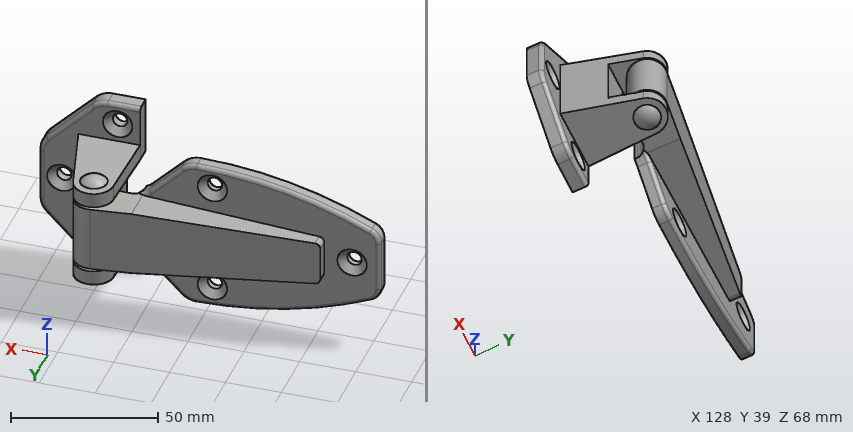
import cadquery as cq
import math


KNUCKLE_R = 7.0
PIN_R = 3.2
EDGE_R = 1.5
CORNER_R = 7.9
SCREW_D = 5.1
SINK_DEPTH = 2.7
OVERSHOOT = 1.3

BASE_LEFT = -8.0
BASE_RIGHT = 28.0
BASE_BOTTOM = -32.0
BASE_THICK = 6.0
BASE_TOP = BASE_BOTTOM + BASE_THICK
BASE_HALF_H = 68.0 / 2
BASE_BEVEL = 21.0
BASE_SCREWS = [(0, 26.0), (0, -26.0), (20.0, 0)]

ARM_FOOT_RIGHT = 14.1
ARM_FOOT_HALF_H = 19.1
ARM_TIP_HALF_H = 18.4
ARM_GAP_HALF_H = 13.0
WEB_LEFT = -1.4
WEB_TOP = -10.0
WEB_CORNER_R = 2.0

LEAF_LEFT = -100.0
LEAF_RIGHT = -15.0
LEAF_TOP = -KNUCKLE_R
LEAF_THICK = 5.0
LEAF_BOTTOM = LEAF_TOP - LEAF_THICK
LEAF_HALF_H = 28.0
LEAF_SIDE_R = 150.0
LEAF_SIDE_APEX = -34.0
LEAF_END_R = 5.8
LEAF_SCREWS = [(-40.0, 20.0), (-40.0, -20.0), (-90.0, 0)]

NECK_HALF_H = 12.0
NECK_FILLET_R = 4.0
RIB_LEFT = -80.0
RIB_LEFT_TOP = -2.8
RIB_LEFT_HALF_H = 8.0
RIB_CORNER_R = 2.0

HEAD_R = 4.7
HEAD_HEIGHT = 2.2
HEAD_SEAT = ARM_FOOT_HALF_H


def knuckle_tangent(x, y, side):
    """Point where a line from (x, y) touches the knuckle circle; side +1 or -1 picks which of the two."""
    distance = math.hypot(x, y)
    angle = math.atan2(y, x) + side * math.acos(KNUCKLE_R / distance)
    return (KNUCKLE_R * math.cos(angle), KNUCKLE_R * math.sin(angle))


def plate(outline, top, thickness):
    """Plate whose XZ outline is extruded downward (-Y) from the given top."""
    return outline(cq.Workplane("XZ", origin=(0, top, 0))).extrude(thickness)


def drill_screw_holes(body, centres, top, thickness):
    """Through holes, countersunk from the top (+Y) face."""
    radius = SCREW_D / 2
    drill = (
        cq.Workplane("XY")
        .moveTo(0, top)
        .lineTo(radius + SINK_DEPTH, top)
        .lineTo(radius, top - SINK_DEPTH)
        .lineTo(radius, top - thickness)
        .lineTo(0, top - thickness)
        .close()
        .revolve(360, (0, 0, 0), (0, 1, 0))
    )
    for x, z in centres:
        body = body.cut(drill.translate((x, 0, z)))
    return body


def pin_bore(half_height):
    return cq.Workplane("XY").circle(PIN_R).extrude(half_height, both=True)


def make_base_plate():
    bevel_x = BASE_RIGHT - BASE_BEVEL
    bevel_z = BASE_HALF_H - BASE_BEVEL

    def outline(wp):
        return wp.polyline([
            (BASE_LEFT, -BASE_HALF_H),
            (bevel_x, -BASE_HALF_H),
            (BASE_RIGHT, -bevel_z),
            (BASE_RIGHT, bevel_z),
            (bevel_x, BASE_HALF_H),
            (BASE_LEFT, BASE_HALF_H),
        ]).close()

    body = plate(outline, BASE_TOP, BASE_THICK)
    body = body.edges("|Y").edges("not <X").fillet(CORNER_R)
    body = body.faces(">Y").edges("not <X").fillet(EDGE_R)
    return drill_screw_holes(body, BASE_SCREWS, BASE_TOP, BASE_THICK)


def make_arm_block():
    """Tapered block that the gap later divides into two arms and a web."""
    left_touch = knuckle_tangent(BASE_LEFT, BASE_TOP, -1)
    right_touch = knuckle_tangent(ARM_FOOT_RIGHT, BASE_TOP, 1)
    block = (
        cq.Workplane("XY")
        .moveTo(BASE_LEFT, BASE_BOTTOM)
        .lineTo(BASE_LEFT, BASE_TOP)
        .lineTo(*left_touch)
        .threePointArc((0, KNUCKLE_R), right_touch)
        .lineTo(ARM_FOOT_RIGHT, BASE_TOP)
        .lineTo(ARM_FOOT_RIGHT, BASE_BOTTOM)
        .close()
        .extrude(ARM_FOOT_HALF_H, both=True)
    )
    draft = (
        cq.Workplane("YZ", origin=(BASE_LEFT, 0, 0))
        .polyline([
            (BASE_BOTTOM, -ARM_FOOT_HALF_H),
            (BASE_TOP, -ARM_FOOT_HALF_H),
            (KNUCKLE_R, -ARM_TIP_HALF_H),
            (KNUCKLE_R, ARM_TIP_HALF_H),
            (BASE_TOP, ARM_FOOT_HALF_H),
            (BASE_BOTTOM, ARM_FOOT_HALF_H),
        ])
        .close()
        .extrude(ARM_FOOT_RIGHT - BASE_LEFT)
    )
    return block.intersect(draft)


def make_arm_gap():
    """Space between the arms: open above the web, and a notch in front of it down through the plate."""
    open_gap = cq.Workplane("XY").box(
        ARM_FOOT_RIGHT - BASE_LEFT,
        KNUCKLE_R - WEB_TOP,
        2 * ARM_GAP_HALF_H,
        centered=(False, False, True),
    ).translate((BASE_LEFT, WEB_TOP, 0))
    notch = cq.Workplane("XY").box(
        WEB_LEFT - BASE_LEFT,
        KNUCKLE_R - BASE_BOTTOM,
        2 * ARM_GAP_HALF_H,
        centered=(False, False, True),
    ).translate((BASE_LEFT, BASE_BOTTOM, 0))
    notch = notch.edges("|Y and >X").fillet(WEB_CORNER_R)
    return open_gap.union(notch)


def make_base():
    body = make_base_plate().union(make_arm_block())
    return body.cut(make_arm_gap()).cut(pin_bore(HEAD_SEAT))


def side_height(x):
    """Half height of the strap plate's bowed side at x."""
    sagitta = LEAF_SIDE_R - math.sqrt(LEAF_SIDE_R**2 - (x - LEAF_SIDE_APEX) ** 2)
    return LEAF_HALF_H - sagitta


def make_leaf_plate():
    shoulder_x = LEAF_RIGHT - (LEAF_HALF_H - NECK_HALF_H)
    shoulder_z = side_height(shoulder_x)
    middle_x = (LEAF_LEFT + shoulder_x) / 2
    middle_z = side_height(middle_x)
    end_z = side_height(LEAF_LEFT)

    def outline(wp):
        return (
            wp.moveTo(LEAF_LEFT, end_z)
            .threePointArc((middle_x, middle_z), (shoulder_x, shoulder_z))
            .lineTo(LEAF_RIGHT, NECK_HALF_H)
            .lineTo(0, NECK_HALF_H)
            .lineTo(0, -NECK_HALF_H)
            .lineTo(LEAF_RIGHT, -NECK_HALF_H)
            .lineTo(shoulder_x, -shoulder_z)
            .threePointArc((middle_x, -middle_z), (LEAF_LEFT, -end_z))
            .close()
        )

    body = plate(outline, LEAF_TOP, LEAF_THICK)
    body = body.edges("|Y and <X").fillet(LEAF_END_R)
    shoulder_corners = cq.selectors.BoxSelector(
        (shoulder_x - OVERSHOOT, LEAF_BOTTOM, -LEAF_HALF_H),
        (LEAF_RIGHT + OVERSHOOT, LEAF_TOP, LEAF_HALF_H),
    )
    body = body.edges("|Y").edges(shoulder_corners).fillet(CORNER_R)
    body = body.faces(">Y").edges().fillet(EDGE_R)
    return drill_screw_holes(body, LEAF_SCREWS, LEAF_TOP, LEAF_THICK)


def make_rib():
    """Rib that rises and widens along the strap into the neck and the knuckle."""
    touch = knuckle_tangent(RIB_LEFT, RIB_LEFT_TOP, -1)
    profile = (
        cq.Workplane("XY")
        .moveTo(RIB_LEFT, LEAF_BOTTOM)
        .lineTo(RIB_LEFT, RIB_LEFT_TOP)
        .lineTo(*touch)
        .threePointArc((KNUCKLE_R, 0), (0, -KNUCKLE_R))
        .lineTo(0, LEAF_BOTTOM)
        .close()
        .extrude(NECK_HALF_H, both=True)
    )

    def outline(wp):
        return wp.polyline([
            (RIB_LEFT, -RIB_LEFT_HALF_H),
            (LEAF_RIGHT, -NECK_HALF_H),
            (KNUCKLE_R, -NECK_HALF_H),
            (KNUCKLE_R, NECK_HALF_H),
            (LEAF_RIGHT, NECK_HALF_H),
            (RIB_LEFT, RIB_LEFT_HALF_H),
        ]).close()

    width = plate(outline, KNUCKLE_R, KNUCKLE_R - LEAF_BOTTOM)
    width = width.edges("|Y and <X").fillet(RIB_CORNER_R)
    return profile.intersect(width)


def make_neck_relief():
    """Cutter that ends the plate with a hollow fillet rising to the underside of the neck."""
    return (
        cq.Workplane("XY")
        .moveTo(LEAF_RIGHT, LEAF_BOTTOM)
        .lineTo(LEAF_RIGHT, LEAF_TOP - NECK_FILLET_R)
        .radiusArc((LEAF_RIGHT + NECK_FILLET_R, LEAF_TOP), NECK_FILLET_R)
        .lineTo(OVERSHOOT, LEAF_TOP)
        .lineTo(OVERSHOOT, LEAF_BOTTOM)
        .close()
        .extrude(LEAF_HALF_H, both=True)
    )


def make_leaf():
    body = make_leaf_plate().union(make_rib())
    return body.cut(make_neck_relief()).cut(pin_bore(NECK_HALF_H))


def make_pin():
    """Round shank with a flat-seated domed head at each end."""
    tip = HEAD_SEAT + HEAD_HEIGHT
    dome_r = (HEAD_R**2 + HEAD_HEIGHT**2) / (2 * HEAD_HEIGHT)
    dome_mid_r = HEAD_R / 2
    dome_mid_z = tip - dome_r + math.sqrt(dome_r**2 - dome_mid_r**2)
    return (
        cq.Workplane("XZ")
        .moveTo(0, -tip)
        .threePointArc((dome_mid_r, -dome_mid_z), (HEAD_R, -HEAD_SEAT))
        .lineTo(PIN_R, -HEAD_SEAT)
        .lineTo(PIN_R, HEAD_SEAT)
        .lineTo(HEAD_R, HEAD_SEAT)
        .threePointArc((dome_mid_r, dome_mid_z), (0, tip))
        .close()
        .revolve(360, (0, 0, 0), (0, 1, 0))
    )


base = make_base()
leaf = make_leaf()
pin = make_pin()

result = cq.Compound.makeCompound([base.solids().val(), leaf.solids().val(), pin.val()])